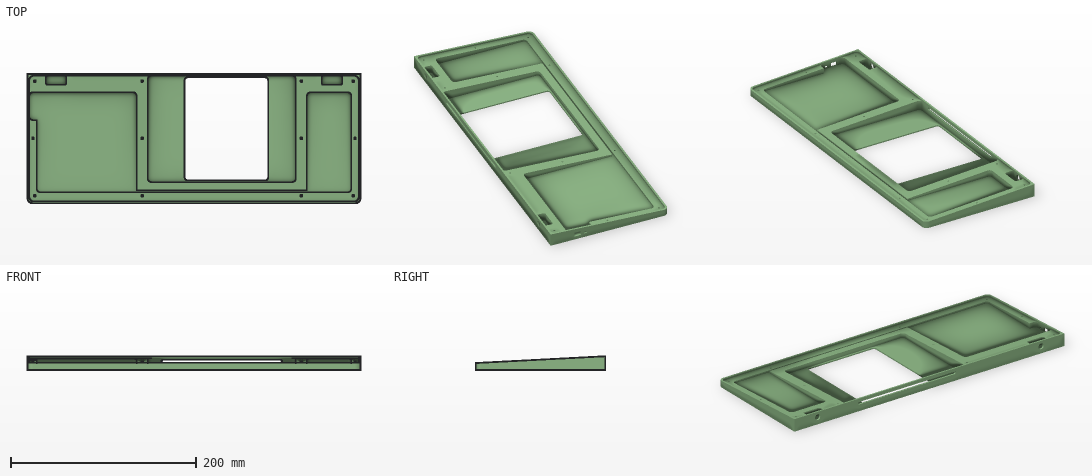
import cadquery as cq
import math

length = 360.0
width = 140.0
rear_height = 15.0
slope = 3.0
front_corner_radius = 6.0

rim_width = 2.0
rim_depth = 2.0
recess_corner_radius = 5.0

pocket_corner_radius = 4.0
side_floor = 4.0
side_pocket_rear = 50.0
side_pocket_front = -58.0
side_pocket_outer = 170.0
rib_width = 12.0
cable_channel_width = 2.0
port_bay_front = 20.0

display_left = -50.0
display_right = 110.0
display_front = -47.0
display_floor = 1.5

window_left = -10.0
window_right = 80.0
window_front = -45.0
window_rear = 66.0
window_corner_radius = 3.0

rear_slot_length = 130.0
rear_slot_bottom = 8.0
rear_slot_top = 11.0
rear_slot_corner_radius = 1.4

bay_centre_x = 149.0
bay_length = 22.0
bay_front = 58.0
bay_floor = 3.0
bay_corner_radius = 2.0
bay_hole_diameter = 7.0
bay_hole_z = 8.5

left_openings = [
    (38.0, 6.5, 8.0, 5.0),
    (28.3, 5.9, 3.6, 2.4),
]

screw_diameter = 2.0
screw_depth = 4.0
screw_end_x = 172.0
screw_middle_row_x = 174.0
screw_rib_x = [display_left - rib_width / 2, display_right + rib_width / 2]
screw_row_y = 62.0

overcut = 1.0

half_length = length / 2
half_width = width / 2
inner_x = half_length - rim_width
inner_y = half_width - rim_width
left_pocket_right = display_left - rib_width
right_pocket_left = display_right + rib_width
above_part = rear_height + overcut


def box_between(x0, x1, y0, y1, z0, z1):
    """Box given by its limits along each axis."""
    return cq.Workplane("XY").box(x1 - x0, y1 - y0, z1 - z0, centered=False).translate((x0, y0, z0))


def pocket(x0, x1, y0, y1, floor, radius, corners="|Z"):
    """Pocket open at the top, with its selected vertical corners rounded."""
    return box_between(x0, x1, y0, y1, floor, above_part).edges(corners).fillet(radius)


def sloped_plane():
    """Workplane on the top face; its origin is at X = 0, Y = 0."""
    angle = math.radians(slope)
    mid_height = rear_height - half_width * math.tan(angle)
    return cq.Workplane(
        cq.Plane(
            origin=(0, 0, mid_height),
            xDir=(1, 0, 0),
            normal=(0, -math.sin(angle), math.cos(angle)),
        )
    )


def wedge_body():
    front_height = rear_height - width * math.tan(math.radians(slope))
    body = (
        cq.Workplane("YZ")
        .polyline(
            [
                (-half_width, 0),
                (half_width, 0),
                (half_width, rear_height),
                (-half_width, front_height),
            ]
        )
        .close()
        .extrude(half_length, both=True)
    )
    return body.edges("|Z and <Y").fillet(front_corner_radius)


def rim_recess():
    profile = cq.Sketch().rect(2 * inner_x, 2 * inner_y).vertices().fillet(recess_corner_radius)
    return sloped_plane().placeSketch(profile).extrude(rim_depth, both=True)


def side_pockets():
    """Left and right pockets, joined along the front by a narrow cable channel."""
    left = pocket(
        -side_pocket_outer, left_pocket_right, side_pocket_front, side_pocket_rear,
        side_floor, pocket_corner_radius, "|Z and (not (>X and <Y))",
    )
    port_bay = pocket(
        -inner_x, left_pocket_right, port_bay_front, side_pocket_rear,
        side_floor, pocket_corner_radius,
    )
    right = pocket(
        right_pocket_left, side_pocket_outer, side_pocket_front, side_pocket_rear,
        side_floor, pocket_corner_radius, "|Z and (not (<X and <Y))",
    )
    channel = box_between(
        left_pocket_right, right_pocket_left,
        side_pocket_front, side_pocket_front + cable_channel_width,
        side_floor, above_part,
    )
    return left.union(port_bay).union(right).union(channel)


def display_pocket():
    """Central pocket whose rear wall starts at the rear edge of the recess floor."""
    angle = math.radians(slope)
    rear = inner_y * math.cos(angle) + rim_depth * math.sin(angle)
    return pocket(
        display_left, display_right, display_front, rear, display_floor, pocket_corner_radius
    )


def display_window():
    return pocket(
        window_left, window_right, window_front, window_rear, -overcut, window_corner_radius
    )


def rear_slot():
    centre_x = (display_left + display_right) / 2
    return box_between(
        centre_x - rear_slot_length / 2, centre_x + rear_slot_length / 2,
        inner_y - overcut, half_width + overcut,
        rear_slot_bottom, rear_slot_top,
    ).edges("|Y").fillet(rear_slot_corner_radius)


def rear_bay(centre_x):
    bay = pocket(
        centre_x - bay_length / 2, centre_x + bay_length / 2, bay_front, inner_y,
        bay_floor, bay_corner_radius,
    )
    hole = (
        cq.Workplane("XZ", origin=(centre_x, half_width + overcut, bay_hole_z))
        .circle(bay_hole_diameter / 2)
        .extrude(rim_width + 2 * overcut)
    )
    return bay.union(hole)


def left_opening(y, z, size_y, size_z):
    return box_between(
        -half_length - overcut, -inner_x + overcut,
        y - size_y / 2, y + size_y / 2,
        z - size_z / 2, z + size_z / 2,
    )


def screw_holes():
    points = []
    for y in (-screw_row_y, 0, screw_row_y):
        end_x = screw_middle_row_x if y == 0 else screw_end_x
        for x in [-end_x] + screw_rib_x + [end_x]:
            points.append((x, y))
    return (
        sloped_plane()
        .workplane(offset=-rim_depth - screw_depth)
        .pushPoints(points)
        .circle(screw_diameter / 2)
        .extrude(rim_depth + screw_depth)
    )


result = wedge_body()
result = result.cut(rim_recess())
result = result.cut(side_pockets())
result = result.cut(display_pocket())
result = result.cut(display_window())
result = result.cut(rear_slot())
for side in (-1, 1):
    result = result.cut(rear_bay(side * bay_centre_x))
for opening in left_openings:
    result = result.cut(left_opening(*opening))
result = result.cut(screw_holes())